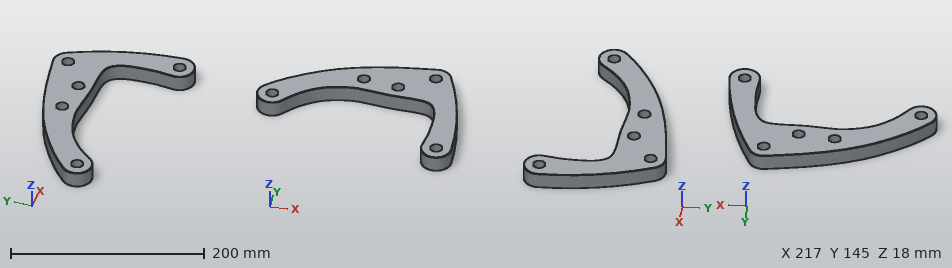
import cadquery as cq
import math

length = 217.0
depth = 145.0
thickness = 18.0
edge_chamfer = 0.7

end_radius = 16.0
hole_diameter = 12.5
left_pivot = (end_radius, 70.0)
right_pivot = (length - end_radius, end_radius)
top_pivot = (176.2, depth - end_radius)
middle_holes = [(103.5, 113.0), (141.0, 107.0)]

left_outer_angle = 134.0
left_inner_angle = -41.0
top_left_angle = 97.0
top_right_angle = 24.5
right_outer_angle = 0.0
right_inner_angle = 171.0

left_side_points = [(37.8, 106.1), (63.8, 120.0), (95.0, 131.3), (137.0, 140.2)]
right_side_point = (206.5, 90.5)
inner_side_points = [
    (43.5, 75.7), (61.8, 88.0), (82.0, 94.5), (99.0, 96.1), (121.3, 93.5),
    (147.3, 91.4), (168.5, 90.0), (179.0, 86.1), (185.5, 75.5), (188.0, 55.3), (187.7, 38.8),
]


def on_end(center, angle):
    """Point on the rounded end around center at the given angle."""
    turn = math.radians(angle)
    return (center[0] + end_radius * math.cos(turn), center[1] + end_radius * math.sin(turn))


def clockwise_tangent(angle):
    """Clockwise direction along a rounded end at the given angle."""
    turn = math.radians(angle)
    return (math.sin(turn), -math.cos(turn))


def make_plate():
    """Bent arm with three rounded ends, traced clockwise from the left end."""
    outline = (
        cq.Workplane("XY")
        .moveTo(*on_end(left_pivot, left_outer_angle))
        .spline(
            left_side_points + [on_end(top_pivot, top_left_angle)],
            tangents=[clockwise_tangent(left_outer_angle), clockwise_tangent(top_left_angle)],
            includeCurrent=True,
        )
        .threePointArc(
            on_end(top_pivot, (top_left_angle + top_right_angle) / 2),
            on_end(top_pivot, top_right_angle),
        )
        .threePointArc(right_side_point, on_end(right_pivot, right_outer_angle))
        .threePointArc(on_end(right_pivot, -90), on_end(right_pivot, right_inner_angle))
        .spline(
            inner_side_points[::-1] + [on_end(left_pivot, left_inner_angle)],
            tangents=[
                clockwise_tangent(right_inner_angle),
                clockwise_tangent(left_inner_angle),
            ],
            includeCurrent=True,
        )
        .threePointArc(on_end(left_pivot, -135), on_end(left_pivot, left_outer_angle))
        .close()
    )
    return outline.extrude(thickness).faces("<Z or >Z").edges().chamfer(edge_chamfer)


def make_holes():
    """Pins that cut the through holes."""
    centers = [left_pivot, right_pivot, top_pivot] + middle_holes
    return cq.Workplane("XY").pushPoints(centers).circle(hole_diameter / 2).extrude(thickness)


result = make_plate().cut(make_holes())